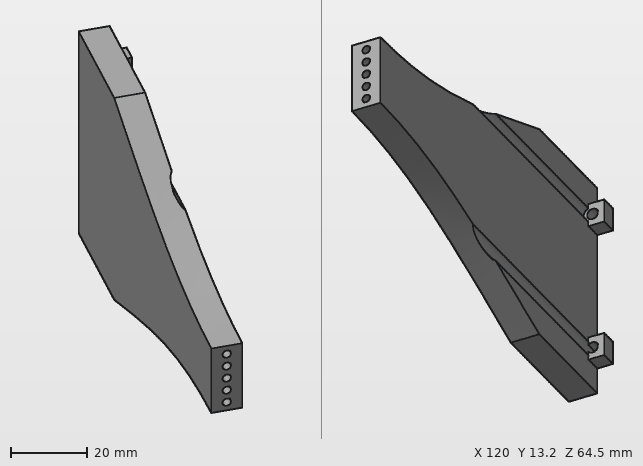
import cadquery as cq

length = 120.0
plate_thickness = 8.5
width = 64.5
tip_half = 10.3
flare_start = 32.2
flare_handle = 36.0
tip_handle = 30.0
flare_slope = 0.39

lug_depth = 4.7
lug_length = 4.9
lug_width = 7.0
lug_offset = 21.0
lug_hole_diameter = 3.2
lug_hole_height = 1.2

groove_diameter = 4.5
groove_axis_height = 0.8

channel_entry_pitch = 13.9
channel_exit_pitch = 3.8
channel_entry_diameter = 4.5
channel_exit_diameter = 2.3
socket_depth = 6.0

mid_plane = plate_thickness / 2
wide_half = width / 2


def make_plate():
    """Wide rectangle that narrows along a mirrored Bezier flare to the tip."""
    corner = (flare_start, wide_half)
    corner_control = (flare_start + flare_handle, wide_half - flare_handle * flare_slope)
    tip_control = (length - tip_handle, tip_half)
    tip = (length, tip_half)

    def mirrored(point):
        return (point[0], -point[1])

    return (
        cq.Workplane("XZ")
        .moveTo(0, -wide_half)
        .lineTo(0, wide_half)
        .lineTo(*corner)
        .bezier([corner, corner_control, tip_control, tip])
        .lineTo(*mirrored(tip))
        .bezier([mirrored(p) for p in (tip, tip_control, corner_control, corner)])
        .close()
        .extrude(-plate_thickness)
    )


def make_lug(z):
    """Block on the back face, flush with the wide end."""
    return cq.Workplane("XY", origin=(0, plate_thickness, z)).box(
        lug_length, lug_depth, lug_width, centered=(False, False, True)
    )


def rod(diameter, start, end, y, z):
    """Cylinder along X from start to end."""
    return cq.Workplane("YZ", origin=(start, y, z)).circle(diameter / 2).extrude(end - start)


def make_channel(position):
    """Tapered S-shaped channel, parallel to X at the wide end and at the tip."""
    entry_z = position * channel_entry_pitch
    exit_z = position * channel_exit_pitch
    path = cq.Workplane("XZ", origin=(0, mid_plane, 0)).spline(
        [(0, entry_z), (length, exit_z)], tangents=[(1, 0), (1, 0)]
    )
    return (
        cq.Workplane("YZ", origin=(0, mid_plane, entry_z))
        .circle(channel_entry_diameter / 2)
        .workplane(offset=length)
        .center(0, exit_z - entry_z)
        .circle(channel_exit_diameter / 2)
        .sweep(path, multisection=True)
    )


result = make_plate()
for side in (-1, 1):
    result = result.union(make_lug(side * lug_offset))

hole_y = plate_thickness + lug_hole_height
groove_y = plate_thickness + groove_axis_height
plate_space = cq.Workplane("XY").box(
    length, plate_thickness, width, centered=(False, False, True)
)
for side, groove_start in ((-1, 0), (1, lug_length)):
    z = side * lug_offset
    result = result.cut(rod(groove_diameter, groove_start, length, groove_y, z).intersect(plate_space))
    result = result.cut(rod(lug_hole_diameter, 0, length, hole_y, z))

result = result.cut(rod(channel_entry_diameter, 0, socket_depth, mid_plane, 0))
result = result.cut(rod(channel_exit_diameter, 0, length, mid_plane, 0))

for position in (-2, -1, 1, 2):
    result = result.cut(make_channel(position))